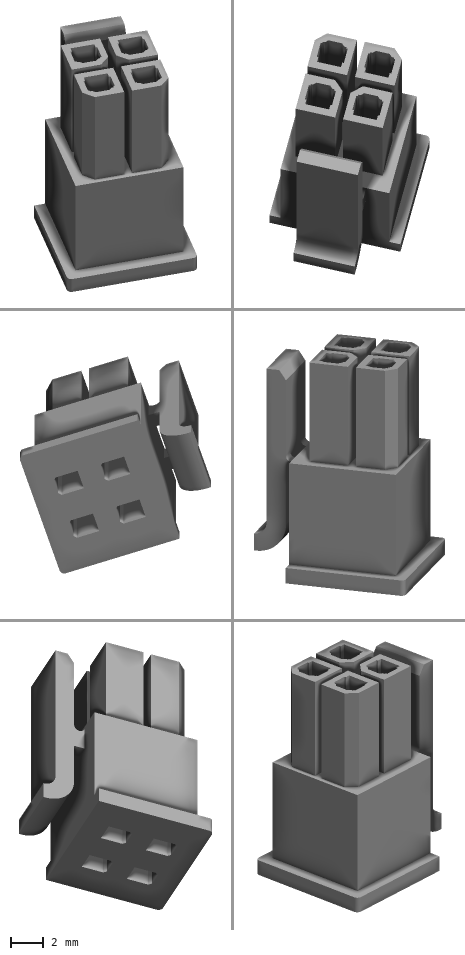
import cadquery as cq

TOTAL_HEIGHT = 14.0

FLANGE_LENGTH = 7.65
FLANGE_WIDTH = 8.27
FLANGE_HEIGHT = 1.0
FLANGE_CORNER_RADIUS = 0.3
BODY_SIDE = 6.87
BODY_TOP = 7.57

TOWER_SIDE = 2.5
TOWER_PITCH = 3.0
TOWER_GRID_X = 3.82
TOWER_CHAMFER = 0.63

CAVITY_WALL = 0.45
BORE_LENGTH = 1.6
BORE_WIDTH = 1.22
BORE_CHAMFER = 0.18
POCKET_LENGTH = 1.42
POCKET_WIDTH = 1.51
RELIEF_OFFSET = 0.32
RELIEF_LENGTH = 1.0
RELIEF_WIDTH = 1.71
POCKET_FLOOR = BODY_TOP

LATCH_WIDTH = 3.86
LATCH_GAP = 0.7
LATCH_THICKNESS = 1.25
LATCH_TOP = 13.0
LATCH_TIP_CHAMFER_X = 0.43
LATCH_TIP_CHAMFER_Z = 0.62
CURL_INNER_RADIUS = 0.8
CURL_OUTER_RADIUS = 1.9
CURL_CENTER_Z = 3.0

POST_WIDTH = 0.85
POST_BOTTOM = 5.82
POST_GROOVE_RADIUS = LATCH_GAP / 2
POST_GROOVE_CENTER_Z = 7.47


def box(x_start, length, width, z_start, z_end, y_center=0.0):
    """Box running along +X from x_start, centred in Y on y_center."""
    height = z_end - z_start
    center = (x_start + length / 2, y_center, z_start + height / 2)
    return cq.Workplane("XY").box(length, width, height).translate(center)


def make_housing():
    """Body standing on a flange that is rounded at its two far corners."""
    flange = box(0, FLANGE_LENGTH, FLANGE_WIDTH, 0, FLANGE_HEIGHT)
    flange = flange.edges("|Z and >X").fillet(FLANGE_CORNER_RADIUS)
    return flange.union(box(0, BODY_SIDE, BODY_SIDE, 0, BODY_TOP))


def make_tower(x_center, y_center, keyed_side):
    """Square tower with its +X corner cut on the keyed side (+1 for +Y, -1 for -Y)."""
    tower = box(x_center - TOWER_SIDE / 2, TOWER_SIDE, TOWER_SIDE, BODY_TOP, TOTAL_HEIGHT, y_center)
    corner = "|Z and >X and >Y" if keyed_side > 0 else "|Z and >X and <Y"
    return tower.edges(corner).chamfer(TOWER_CHAMFER)


def make_cavity(x_center, y_center):
    """Through bore, widened sideways inside the tower by a stepped pocket."""
    x_start = x_center - TOWER_SIDE / 2 + CAVITY_WALL
    bore = box(x_start, BORE_LENGTH, BORE_WIDTH, 0, TOTAL_HEIGHT, y_center)
    bore = bore.edges("|Z and >X").chamfer(BORE_CHAMFER)
    pocket = box(x_start, POCKET_LENGTH, POCKET_WIDTH, POCKET_FLOOR, TOTAL_HEIGHT, y_center)
    relief = box(x_start + RELIEF_OFFSET, RELIEF_LENGTH, RELIEF_WIDTH, POCKET_FLOOR, TOTAL_HEIGHT, y_center)
    return bore.union(pocket).union(relief)


def make_latch_arm():
    """Upright arm with a bevelled tip and a foot that curls away from the body."""
    inner_x = -LATCH_GAP
    outer_x = inner_x - LATCH_THICKNESS
    foot_x = outer_x - CURL_INNER_RADIUS
    outer_center_x = inner_x - CURL_OUTER_RADIUS
    foot_top = CURL_CENTER_Z - CURL_INNER_RADIUS
    foot_bottom = CURL_CENTER_Z - CURL_OUTER_RADIUS
    profile = (
        cq.Workplane("XZ")
        .moveTo(outer_x, CURL_CENTER_Z)
        .lineTo(outer_x, LATCH_TOP)
        .lineTo(inner_x - LATCH_TIP_CHAMFER_X, LATCH_TOP)
        .lineTo(inner_x, LATCH_TOP - LATCH_TIP_CHAMFER_Z)
        .lineTo(inner_x, CURL_CENTER_Z)
        .radiusArc((outer_center_x, foot_bottom), CURL_OUTER_RADIUS)
        .lineTo(foot_x, foot_bottom)
        .lineTo(foot_x, foot_top)
        .radiusArc((outer_x, CURL_CENTER_Z), -CURL_INNER_RADIUS)
        .close()
    )
    return profile.extrude(LATCH_WIDTH / 2, both=True)


def make_posts():
    """Two short posts across the gap, hollowed on top by a round groove along Y."""
    posts = cq.Workplane("XY")
    for side in (-1, 1):
        y_center = side * (LATCH_WIDTH - POST_WIDTH) / 2
        post = box(-LATCH_GAP, LATCH_GAP, POST_WIDTH, POST_BOTTOM, POST_GROOVE_CENTER_Z, y_center)
        posts = posts.union(post)
    groove = (
        cq.Workplane("XZ")
        .center(-LATCH_GAP / 2, POST_GROOVE_CENTER_Z)
        .circle(POST_GROOVE_RADIUS)
        .extrude(LATCH_WIDTH, both=True)
    )
    return posts.cut(groove)


result = make_housing().union(make_latch_arm()).union(make_posts())
for column in (-1, 1):
    for row in (-1, 1):
        tower_x = TOWER_GRID_X + column * TOWER_PITCH / 2
        tower_y = row * TOWER_PITCH / 2
        result = result.union(make_tower(tower_x, tower_y, column * row))
        result = result.cut(make_cavity(tower_x, tower_y))